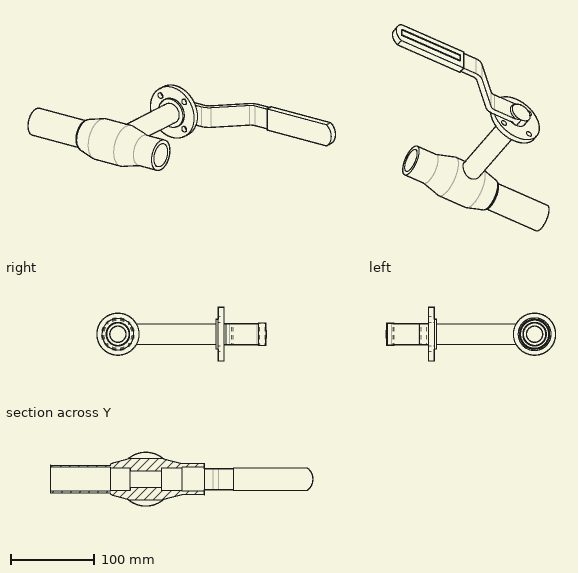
import cadquery as cq
import math


OVERALL_LENGTH = 316.0
OVERALL_DEPTH = 204.5

INLET_END_X = -114.7
INLET_DIAMETER = 33.8
SHOULDER_START_X = -42.7
SHOULDER_START_DIAMETER = 36.0
SHOULDER_END_X = -40.0
SHOULDER_END_DIAMETER = 39.5
BARREL_START_X = -19.0
BARREL_END_X = -BARREL_START_X
BARREL_DIAMETER = 51.0
OUTLET_START_X = 43.5
OUTLET_END_X = 70.5
OUTLET_DIAMETER = 38.0

PIPE_BORE_DIAMETER = 28.5
SEAT_BORE_DIAMETER = 27.0
BALL_BORE_DIAMETER = 19.3

STEM_DIAMETER = 25.0
COLLAR_DIAMETER = 36.0
COLLAR_BOTTOM_Y = 118.0
FLANGE_DIAMETER = 65.0
FLANGE_BOTTOM_Y = 120.7
FLANGE_TOP_Y = 127.7
BOLT_CIRCLE_DIAMETER = 50.0
BOLT_HOLE_DIAMETER = 7.0
BOLT_COUNT = 4
FIRST_BOLT_ANGLE = 45

HUB_DIAMETER = STEM_DIAMETER
HUB_HEIGHT = 11.0
WELD_TOP_DIAMETER = 25.5
WELD_BASE_DIAMETER = 28.5

LEVER_WIDTH = 25.5
LEVER_THICKNESS = 6.5
LEVER_LOW_Y = FLANGE_TOP_Y + HUB_HEIGHT / 2
LEVER_HIGH_Y = 173.5
UPPER_BEND_X = 82.2
BEND_ANGLE = 45
BEND_RADIUS = 12.5
RISE = LEVER_HIGH_Y - LEVER_LOW_Y
LOWER_BEND_X = UPPER_BEND_X - RISE / math.tan(math.radians(BEND_ANGLE))

GRIP_START_X = 105.5
GRIP_WIDTH = 27.5
GRIP_THICKNESS = 9.0
GRIP_END_X = INLET_END_X + OVERALL_LENGTH
GRIP_END_DIAMETER = 33.5
LABEL_START_X = 111.2
LABEL_END_X = 193.7
LABEL_WIDTH = 9.5
LABEL_TOP_Y = OVERALL_DEPTH - BARREL_DIAMETER / 2


def cylinder_along_x(diameter, start_x, end_x):
    return cq.Workplane("YZ", origin=(start_x, 0, 0)).circle(diameter / 2).extrude(end_x - start_x)


def disc_along_y(diameter, bottom_y, top_y):
    """Cylinder on the stem axis."""
    return cq.Workplane("XZ", origin=(0, bottom_y, 0)).circle(diameter / 2).extrude(bottom_y - top_y)


def box_between(start_x, end_x, bottom_y, top_y, width):
    """Box centred on the Z = 0 plane."""
    middle = ((start_x + end_x) / 2, (bottom_y + top_y) / 2, 0)
    return cq.Workplane("XY", origin=middle).box(end_x - start_x, top_y - bottom_y, width)


def make_pipe_body():
    """Turned outside of the inlet pipe, tapered barrel and outlet."""
    return (
        cq.Workplane("XY")
        .moveTo(INLET_END_X, 0)
        .lineTo(INLET_END_X, INLET_DIAMETER / 2)
        .lineTo(SHOULDER_START_X, INLET_DIAMETER / 2)
        .lineTo(SHOULDER_START_X, SHOULDER_START_DIAMETER / 2)
        .lineTo(SHOULDER_END_X, SHOULDER_END_DIAMETER / 2)
        .lineTo(BARREL_START_X, BARREL_DIAMETER / 2)
        .lineTo(BARREL_END_X, BARREL_DIAMETER / 2)
        .lineTo(OUTLET_START_X, OUTLET_DIAMETER / 2)
        .lineTo(OUTLET_END_X, OUTLET_DIAMETER / 2)
        .lineTo(OUTLET_END_X, 0)
        .close()
        .revolve(360, (0, 0, 0), (1, 0, 0))
    )


def make_flow_passage():
    """Stepped bore that narrows from both pipe ends to the ball."""
    inlet_bore = cylinder_along_x(PIPE_BORE_DIAMETER, INLET_END_X, SHOULDER_START_X)
    outlet_bore = cylinder_along_x(PIPE_BORE_DIAMETER, OUTLET_START_X, OUTLET_END_X)
    inlet_seat = cylinder_along_x(SEAT_BORE_DIAMETER, SHOULDER_START_X, BARREL_START_X)
    outlet_seat = cylinder_along_x(SEAT_BORE_DIAMETER, BARREL_END_X, OUTLET_START_X)
    ball_bore = cylinder_along_x(BALL_BORE_DIAMETER, INLET_END_X, OUTLET_END_X)
    return ball_bore.union(inlet_bore).union(outlet_bore).union(inlet_seat).union(outlet_seat)


def make_bolt_holes():
    return (
        cq.Workplane("XZ", origin=(0, FLANGE_BOTTOM_Y, 0))
        .polarArray(BOLT_CIRCLE_DIAMETER / 2, FIRST_BOLT_ANGLE, 360, BOLT_COUNT)
        .circle(BOLT_HOLE_DIAMETER / 2)
        .extrude(FLANGE_BOTTOM_Y - FLANGE_TOP_Y)
    )


def make_valve():
    """Pipe body with the stem housing, its collar and the mounting flange."""
    stem = disc_along_y(STEM_DIAMETER, 0, FLANGE_TOP_Y)
    collar = disc_along_y(COLLAR_DIAMETER, COLLAR_BOTTOM_Y, FLANGE_BOTTOM_Y)
    flange = disc_along_y(FLANGE_DIAMETER, FLANGE_BOTTOM_Y, FLANGE_TOP_Y)
    valve = make_pipe_body().union(stem).union(collar).union(flange)
    return valve.cut(make_flow_passage()).cut(make_bolt_holes())


def make_lever():
    """Flat strip swept from the hub axis through both bends into the grip."""
    angle = math.radians(BEND_ANGLE)
    tangent_length = BEND_RADIUS * math.tan(angle / 2)
    tangent_x = tangent_length * math.cos(angle)
    tangent_y = tangent_length * math.sin(angle)
    path = (
        cq.Workplane("XY")
        .moveTo(0, LEVER_LOW_Y)
        .lineTo(LOWER_BEND_X - tangent_length, LEVER_LOW_Y)
        .tangentArcPoint((LOWER_BEND_X + tangent_x, LEVER_LOW_Y + tangent_y), relative=False)
        .lineTo(UPPER_BEND_X - tangent_x, LEVER_HIGH_Y - tangent_y)
        .tangentArcPoint((UPPER_BEND_X + tangent_length, LEVER_HIGH_Y), relative=False)
        .lineTo(GRIP_START_X, LEVER_HIGH_Y)
    )
    return cq.Workplane("YZ", origin=(0, LEVER_LOW_Y, 0)).rect(LEVER_THICKNESS, LEVER_WIDTH).sweep(path)


def make_weld():
    """Bead around the lever side of the hub, sloping down to both lever faces and flush with its edges."""
    hub_top_y = FLANGE_TOP_Y + HUB_HEIGHT
    bead = (
        cq.Workplane("XY")
        .moveTo(0, FLANGE_TOP_Y)
        .lineTo(WELD_TOP_DIAMETER / 2, FLANGE_TOP_Y)
        .lineTo(WELD_BASE_DIAMETER / 2, LEVER_LOW_Y - LEVER_THICKNESS / 2)
        .lineTo(WELD_BASE_DIAMETER / 2, LEVER_LOW_Y + LEVER_THICKNESS / 2)
        .lineTo(WELD_TOP_DIAMETER / 2, hub_top_y)
        .lineTo(0, hub_top_y)
        .close()
        .revolve(360, (0, 0, 0), (0, 1, 0))
    )
    lever_side = box_between(0, WELD_BASE_DIAMETER, FLANGE_TOP_Y, hub_top_y, LEVER_WIDTH)
    return bead.intersect(lever_side)


def make_grip():
    """Sleeve with a rounded outer end and a raised label strip on its upper face."""
    bottom_y = LEVER_HIGH_Y - GRIP_THICKNESS / 2
    top_y = LEVER_HIGH_Y + GRIP_THICKNESS / 2
    sleeve = box_between(GRIP_START_X, GRIP_END_X, bottom_y, top_y, GRIP_WIDTH)
    end_radius = GRIP_END_DIAMETER / 2
    end_center_x = GRIP_END_X - end_radius
    end_round = disc_along_y(GRIP_END_DIAMETER, bottom_y, top_y).translate((end_center_x, 0, 0))
    inner_part = box_between(GRIP_START_X, end_center_x, bottom_y, top_y, GRIP_WIDTH)
    label = box_between(LABEL_START_X, LABEL_END_X, LEVER_HIGH_Y, LABEL_TOP_Y, LABEL_WIDTH)
    return sleeve.intersect(end_round.union(inner_part)).union(label)


def make_handle():
    """Hub resting on the flange, with the bent lever welded to it and the grip at its end."""
    hub = disc_along_y(HUB_DIAMETER, FLANGE_TOP_Y, FLANGE_TOP_Y + HUB_HEIGHT)
    return hub.union(make_weld()).union(make_lever()).union(make_grip())


valve = make_valve()
handle = make_handle()

result = cq.Compound.makeCompound([valve.val(), handle.val()])